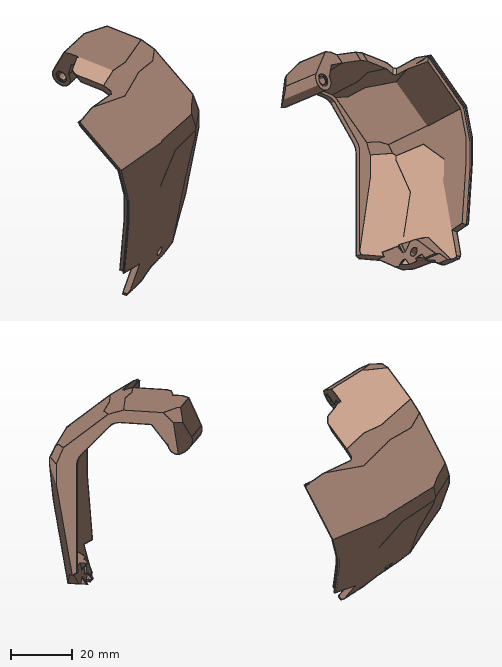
import cadquery as cq


WIDTH, DEPTH, HEIGHT = 49.5, 45.2, 69.4
REACH = 208.15
ALL = (-REACH, REACH)
WALL = 2.2
BACK_WALL = 1.7
CAVITY_BACK = DEPTH - BACK_WALL
LIP_SKIN = 0.75
LOWER_LIP_SKIN = 0.35
LIP_LENGTH = 0.8
CORE = (34.7, 20.8, 48.6)
FRONT_EDGE = 25.7
ROOF_FRONT = 18.0
FRONT_LEFT_X = 28.45
SKIN_STEP_LENGTH = 7.8
OPENING_X, OPENING_Z = 37.4, 64.5
OPENING_R = 5.2
BULGE_Y = 14.1
SIDE_TAPER = 0.044

HINGE_X, HINGE_Z, HINGE_R = 3.5, 58.4, 3.5
ARM_END_Z = 59.7
PIN_D, PIN_DEPTH = 2.9, 10.4
PIN_RECESS_D, PIN_RECESS_DEPTH = 4.1, 0.5

LEDGE_X = 40.0
LEDGE_BOTTOM = 3.4
LEDGE_STEP_X = 40.9
TOOTH_X = 38.2
UPPER_TOOTH_X = 37.5
TOOTH_HALF_RIDGE = 0.55
LEDGE_CORE = (41.6, 24.3, 5.55)
HEEL_TIP = (34.9, 10.05)
TIP_Y = 3.2
SCREW_Y, SCREW_Z, SCREW_D = 21.0, 7.2, 3.0


def half_space(points, inside, inset=0.0):
    """Body behind the plane through three points, on the side of `inside`, moved in by `inset`."""
    a, b, c = (cq.Vector(*p) for p in points)
    normal = (b - a).cross(c - a).normalized()
    if normal.dot(cq.Vector(*inside) - a) > 0:
        normal = normal * -1
    plane = cq.Plane(origin=(a - normal * inset).toTuple(), normal=normal.toTuple())
    return cq.Workplane(plane).rect(2 * REACH, 2 * REACH).extrude(-REACH)


def box(x, y, z):
    """Box from three (low, high) ranges."""
    size = [high - low for low, high in (x, y, z)]
    return cq.Workplane("XY").box(*size, centered=False).translate((x[0], y[0], z[0]))


def common(body, facets, inside, inset=0.0):
    """Part of `body` behind every facet, each moved in by `inset`."""
    for facet in facets:
        body = body.intersect(half_space(facet, inside, inset))
    return body


def along_x(points, x_low, x_high):
    """Prism along X with a (y, z) outline."""
    return cq.Workplane("YZ").polyline(points).close().extrude(x_high - x_low).translate((x_low, 0, 0))


def side_x(y):
    """X of the side wall at a given Y."""
    return WIDTH - SIDE_TAPER * (y - BULGE_Y)


TOP_FRONT = (23.5, FRONT_EDGE, HEIGHT)
TOP_LEFT = (6.7, FRONT_EDGE, HEIGHT)
ROOF_BACK = (21.7, DEPTH, 68.8)
TOP_BACK = (24.3, 31.85, 69.2)
CREST_BACK = (29.5, 31.85, 67.45)
CREST_FRONT = (32.0, 19.8, 66.5)
SHOULDER_BACK = (44.25, 39.8, 54.7)
SHOULDER_FRONT = (46.8, 19.15, 54.25)
RIM_TOP = (27.35, 0, 66.55)
RIM_SHOULDER = (43.4, 0, 53.4)
RIM_HIGH = (46.1, 0, 43.35)
RIM_LOW = (46.1, 0, 33.1)
RIM_END = (44.4, 0, 12.0)
BULGE_HIGH = (WIDTH, BULGE_Y, 40.8)
BULGE_LOW = (WIDTH, BULGE_Y, 34.4)
CORNER_BACK = (44.1, DEPTH, 49.2)
CORNER_FRONT = (48.5, 36.35, 49.2)
SIDE_BREAK_Z = 32.95
SIDE_FOOT_X = 5.35
SIDE_FOOT_DROP = 30.2

ROOF = (TOP_FRONT, TOP_LEFT, ROOF_BACK)
SIDE_FACETS = [
    (TOP_FRONT, TOP_LEFT, (25.2, ROOF_FRONT, 68.8)),
    (TOP_BACK, CREST_BACK, ROOF_BACK),
    (TOP_BACK, CREST_BACK, CREST_FRONT),
    (CREST_BACK, CREST_FRONT, (46.6, 19.8, 54.45)),
    ((29.7, 39.8, 66.6), SHOULDER_BACK, (26.8, DEPTH, 67.15)),
    (RIM_TOP, RIM_SHOULDER, CREST_FRONT),
    (CORNER_BACK, CORNER_FRONT, (41.8, DEPTH, 54.9)),
    ((46.0, 37.7, 53.5), (46.6, 19.8, 54.4), (49.05, 23.25, 49.0)),
    (RIM_SHOULDER, SHOULDER_FRONT, RIM_HIGH),
    (BULGE_HIGH, BULGE_LOW, (side_x(DEPTH), DEPTH, SIDE_BREAK_Z)),
    ((side_x(0), 0, SIDE_BREAK_Z), (side_x(DEPTH), DEPTH, SIDE_BREAK_Z),
     (side_x(0) - SIDE_FOOT_X, 0, SIDE_BREAK_Z - SIDE_FOOT_DROP)),
]
LOWER_RIM_FACETS = [
    (RIM_HIGH, RIM_LOW, BULGE_HIGH),
    (RIM_LOW, RIM_END, BULGE_LOW),
]
BACK_FACET = ((42.2, CAVITY_BACK, 41.2), (37.5, CAVITY_BACK, 14.6), (46.55, 29.35, 33.15))
FOOT_FACET = ((43.8, 29.4, 16.85), (43.35, 24.55, 13.1), (41.1, 33.85, 12.2))
BACK_CORNER_OUTER = (CORNER_BACK, CORNER_FRONT, (44.1, DEPTH, 34.7))
BACK_CORNER_INNER = ((42.2, CAVITY_BACK, 41.2), (42.2, CAVITY_BACK, 49.25), (46.35, 35.5, 49.25))
ARM_RIDGE = ((4.45, 34.7, 68.8), (4.45, 27.75, 68.8))
ARM_FACETS = [
    (*ARM_RIDGE, TOP_LEFT),
    (*ARM_RIDGE, (0.2, 27.75, ARM_END_Z)),
    ((8.45, DEPTH, 68.8), (4.9, 38.3, 68.95), (2.85, 42.25, 65.0)),
]
ARM_BACK_CHAMFER = ((5.05, DEPTH, 65.6), (2.85, 42.25, 65.0), (0.2, 39.75, ARM_END_Z))
ARM_INNER_FACETS = [
    ((11.85, FRONT_EDGE, 67.1), (14.1, CAVITY_BACK, 65.55), (20.8, CAVITY_BACK, 65.55)),
    ((11.85, FRONT_EDGE, 67.1), (14.1, CAVITY_BACK, 65.55), (7.2, FRONT_EDGE, 64.95)),
    ((7.2, FRONT_EDGE, 64.95), (6.8, CAVITY_BACK, 62.15), (6.25, FRONT_EDGE, 60.7)),
]

hull = box(ALL, (0, DEPTH), (0, HEIGHT))
hull = common(hull, [ROOF] + SIDE_FACETS + LOWER_RIM_FACETS + ARM_FACETS, CORE)
hull = common(hull, [ARM_BACK_CHAMFER, BACK_CORNER_OUTER], CORE)
hull = common(hull, [BACK_FACET], CORE, -WALL)

cavity = box(ALL, (-REACH, CAVITY_BACK), ALL)
cavity = common(cavity, SIDE_FACETS + LOWER_RIM_FACETS, CORE, WALL)
cavity = common(cavity, ARM_INNER_FACETS + [BACK_FACET, FOOT_FACET, BACK_CORNER_INNER], CORE)

shell = hull.cut(cavity)

opening_corners = [(OPENING_X, 51.1), (25.0, OPENING_Z)]
opening_left = [(12.4, OPENING_Z), (3.8, 53.9), (-REACH, 53.9), (-REACH, -REACH)]
back_opening = (
    cq.Workplane("XZ", origin=(0, CAVITY_BACK, 0))
    .polyline([(OPENING_X, -REACH)] + opening_corners + opening_left)
    .close()
    .extrude(-REACH)
)
for x, z in opening_corners:
    back_opening = back_opening.edges("|Y").edges(cq.selectors.NearestToPointSelector((x, DEPTH, z)))
    back_opening = back_opening.fillet(OPENING_R)
beside_opening = box((FRONT_LEFT_X, OPENING_X), (FRONT_EDGE, DEPTH), (-REACH, OPENING_Z / 2))
shell = shell.cut(back_opening).cut(beside_opening)

below_arm = box((-REACH, 2 * HINGE_X), ALL, (-REACH, HINGE_Z))
outside_barrel = box((-REACH, HINGE_X), ALL, (-REACH, ARM_END_Z))
barrel = (
    cq.Workplane("XZ", origin=(HINGE_X, FRONT_EDGE, HINGE_Z))
    .circle(HINGE_R)
    .extrude(FRONT_EDGE - DEPTH)
    .intersect(half_space(ARM_BACK_CHAMFER, CORE))
)
shell = shell.cut(below_arm).cut(outside_barrel).union(barrel)

roof_corner = [(9.65, FRONT_EDGE, HEIGHT), (11.85, 19.2, 68.9), (13.7, ROOF_FRONT, 68.8)]
for start, end in zip(roof_corner, roof_corner[1:]):
    undercut = (start[0] + 2.4, start[1], start[2] - WALL)
    outside = half_space((start, end, undercut), (0, 0, HEIGHT))
    shell = shell.cut(outside.intersect(box((-REACH, FRONT_LEFT_X), (ROOF_FRONT, FRONT_EDGE), ALL)))
front_cutout = (
    cq.Workplane("XY")
    .polyline([(-REACH, ROOF_FRONT), (27.7, ROOF_FRONT), (FRONT_LEFT_X, 17.1), (26.7, LIP_LENGTH),
               (26.7, -REACH), (-REACH, -REACH)])
    .close()
    .extrude(REACH)
)
shell = shell.cut(front_cutout)

under_skin = common(box(ALL, ALL, ALL), SIDE_FACETS, CORE, LIP_SKIN)
under_skin = common(under_skin, LOWER_RIM_FACETS, CORE, LOWER_LIP_SKIN)
shell = shell.cut(under_skin.intersect(box(ALL, (-REACH, LIP_LENGTH), ALL)))

skin_floor = ((0, 0, 66.2), (RIM_TOP[0], 0, 66.2), (0, SKIN_STEP_LENGTH, 65.6))
skin_end = box((-REACH, RIM_TOP[0]), (-REACH, SKIN_STEP_LENGTH), ALL)
shell = shell.cut(skin_end.intersect(half_space(skin_floor, (0, 0, REACH))))

tip_front = along_x([(-REACH, 11.65), (7.0, 11.65), (TIP_Y, 0.8), (TIP_Y, -REACH), (-REACH, -REACH)],
                    0, REACH)
HEEL_CORNER = (37.6, 9.85)
BOTTOM_EDGE = [HEEL_CORNER, (30.1, 4.85), (24.8, LEDGE_BOTTOM), (16.85, LEDGE_BOTTOM),
               (12.6, 1.8), (11.4, 0.5), (9.9, 0)]
below_bottom = along_x([(48.6, 13.05)] + BOTTOM_EDGE + [(9.9, -REACH), (48.6, -REACH)], 0, REACH)
heel = half_space(((38.85, DEPTH, 12.1), (41.55, *HEEL_CORNER), (40.25, *HEEL_TIP)), (40.25, 41.6, 0))
heel = heel.intersect(box(ALL, (HEEL_TIP[0], REACH), ALL))
tip_chamfer = half_space(((44.7, 0, 2.7), (43.3, 0, 0), (44.7, 13.9, 2.7)), (REACH, 0, 0))
beside_ledge = box((-REACH, LEDGE_X), ALL, (-REACH, HEEL_CORNER[1]))
shell = shell.cut(tip_front).cut(below_bottom).cut(heel).cut(tip_chamfer).cut(beside_ledge)

LEDGE_BACK = (35.8, 11.8)
LEDGE_TOP = ((LEDGE_X, *LEDGE_BACK), (LEDGE_X, 22.2, 11.45), (43.3, 24.55, 12.9))
ledge = along_x([(LEDGE_BACK[0], 13.9), LEDGE_BACK, HEEL_TIP] + BOTTOM_EDGE + [(TIP_Y, 0), (TIP_Y, 13.9)],
                LEDGE_X, WIDTH)
ledge = common(
    ledge,
    [
        LEDGE_TOP,
        ((LEDGE_X, 21.0, 11.6), (LEDGE_X, 19.4, 10.95), (43.35, 19.4, 12.9)),
        ((LEDGE_X, 19.4, 10.95), (LEDGE_X, 10.9, LEDGE_BOTTOM), (43.35, 17.6, 12.2)),
    ],
    LEDGE_CORE,
)
below_step = box((-REACH, LEDGE_STEP_X), ALL, (-REACH, LEDGE_BOTTOM))
ledge = ledge.intersect(hull).cut(below_step).cut(tip_chamfer)
shell = shell.union(ledge)


def tooth(y, half_base, base_z, end_z, tip_x=TOOTH_X):
    """Pointed tooth on the ledge face, widest at base_z and fading out at end_z."""
    inside = (LEDGE_X, y, base_z)
    body = box((tip_x, LEDGE_STEP_X), (y - half_base, y + half_base),
               (min(base_z, end_z), max(base_z, end_z)))
    ridge = [(tip_x, y, base_z), (tip_x, y + 0.7, base_z), (LEDGE_X, y, end_z)]
    flanks = [
        ((LEDGE_X, y + s * half_base, base_z), (tip_x, y + s * TOOTH_HALF_RIDGE, base_z),
         (LEDGE_X, y + s * TOOTH_HALF_RIDGE, end_z))
        for s in (-1, 1)
    ]
    return common(body, [ridge] + flanks, inside)


upper_tooth = tooth(25.5, 3.2, 11.8, 8.5, UPPER_TOOTH_X).intersect(half_space(LEDGE_TOP, LEDGE_CORE))
shell = shell.union(upper_tooth)
shell = shell.union(tooth(25.5, 2.4, LEDGE_BOTTOM, 6.0).cut(below_bottom))
shell = shell.union(tooth(17.75, 1.8, LEDGE_BOTTOM, 5.1))

screw_hole = cq.Workplane("YZ", origin=(0, SCREW_Y, SCREW_Z)).circle(SCREW_D / 2).extrude(REACH)
pin_hole = cq.Workplane("XZ", origin=(HINGE_X, FRONT_EDGE, HINGE_Z)).circle(PIN_D / 2).extrude(-PIN_DEPTH)
pin_recess = (
    cq.Workplane("XZ", origin=(HINGE_X, FRONT_EDGE, HINGE_Z))
    .circle(PIN_RECESS_D / 2)
    .extrude(-PIN_RECESS_DEPTH)
)
result = shell.cut(screw_hole).cut(pin_hole).cut(pin_recess)